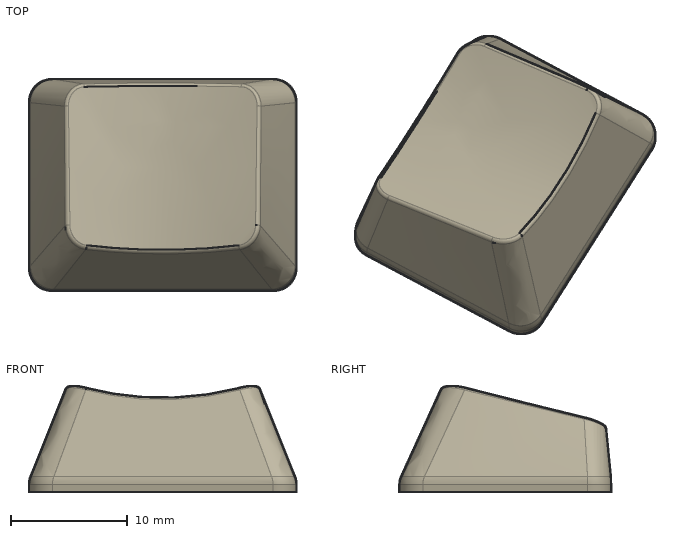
import cadquery as cq
import math

length = 22.92
width = 18.15
skirt_height = 0.66
base_corner_radius = 2.02
blend_height = 0.66

side_slope = 0.4
front_slope = 0.47
rear_slope = 0.075
corner_slope = 0.04

crown_length = 16.36
crown_front_y = -5.13
crown_rear_y = 8.57
crown_tilt = 14.0
crown_front_z = 9.63
crown_corner_radius = 1.9

dish_tilt = 12.7
dish_radius = 24.3
dish_radius_growth = 0.6
dish_point_y = -5.4
dish_point_z = 8.07
dish_overshoot_front = 9.17
dish_overshoot_rear = 22.92
rim_radius = 0.32


def rounded_rectangle(x_size, y_size, y_center, z, radius, tilt=0):
    """Closed rounded outline centred on X, in a plane that falls rearward by tilt degrees."""
    half_x = x_size / 2
    half_y = y_size / 2
    flat_x = half_x - radius
    flat_y = half_y - radius
    bulge = radius * math.sqrt(0.5)
    return (
        cq.Workplane("XY", origin=(0, y_center, z))
        .transformed(rotate=(-tilt, 0, 0))
        .moveTo(-flat_x, -half_y)
        .lineTo(flat_x, -half_y)
        .threePointArc((flat_x + bulge, -flat_y - bulge), (half_x, -flat_y))
        .lineTo(half_x, flat_y)
        .threePointArc((flat_x + bulge, flat_y + bulge), (flat_x, half_y))
        .lineTo(-flat_x, half_y)
        .threePointArc((-flat_x - bulge, flat_y + bulge), (-half_x, flat_y))
        .lineTo(-half_x, -flat_y)
        .threePointArc((-flat_x - bulge, -flat_y - bulge), (-flat_x, -half_y))
        .close()
        .val()
    )


def wall_outline(z, run):
    """Outline at height z, moved inward by each wall's slope times run."""
    return rounded_rectangle(
        length - 2 * side_slope * run,
        width - (front_slope + rear_slope) * run,
        (front_slope - rear_slope) * run / 2,
        z,
        base_corner_radius - corner_slope * run,
    )


def make_skirt():
    base = wall_outline(0, 0)
    return cq.Workplane(cq.Solid.extrudeLinear(base, [], cq.Vector(0, 0, skirt_height)))


def make_blend():
    """Curved band that turns gradually from the vertical skirt to the sloping walls."""
    sections = []
    for fraction in (0, 0.5, 1):
        z = skirt_height + fraction * blend_height
        run = fraction**2 * blend_height / 2
        sections.append(wall_outline(z, run))
    return cq.Workplane(cq.Solid.makeLoft(sections))


def make_body():
    """Walls from the level blend up to the tilted crown, overshooting the dish."""
    bottom = wall_outline(skirt_height + blend_height, blend_height / 2)
    tilt = math.radians(crown_tilt)
    crown_run = crown_rear_y - crown_front_y
    crown_center_z = crown_front_z - math.tan(tilt) * crown_run / 2
    top = rounded_rectangle(
        crown_length,
        crown_run / math.cos(tilt),
        (crown_front_y + crown_rear_y) / 2,
        crown_center_z,
        crown_corner_radius,
        crown_tilt,
    )
    return cq.Workplane(cq.Solid.makeLoft([bottom, top], True))


def make_dish_cutter():
    """Flaring round bar whose lowest line is the bottom of the dish."""
    tilt = math.radians(dish_tilt)
    along = cq.Vector(0, math.cos(tilt), -math.sin(tilt))
    normal = cq.Vector(0, math.sin(tilt), math.cos(tilt))
    lowest_point = cq.Vector(0, dish_point_y, dish_point_z)
    ends = []
    for distance in (-dish_overshoot_front, dish_overshoot_rear):
        radius = dish_radius + dish_radius_growth * distance
        center = lowest_point + along * distance + normal * radius
        ends.append(cq.Wire.makeCircle(radius, center, along))
    return cq.Workplane(cq.Solid.makeLoft(ends, True))


keycap = make_skirt().union(make_blend()).union(make_body())
keycap = keycap.cut(make_dish_cutter())
dish_face = keycap.faces(cq.selectors.DirectionMinMaxSelector(cq.Vector(0, 0, 1), True))
result = dish_face.edges().fillet(rim_radius)